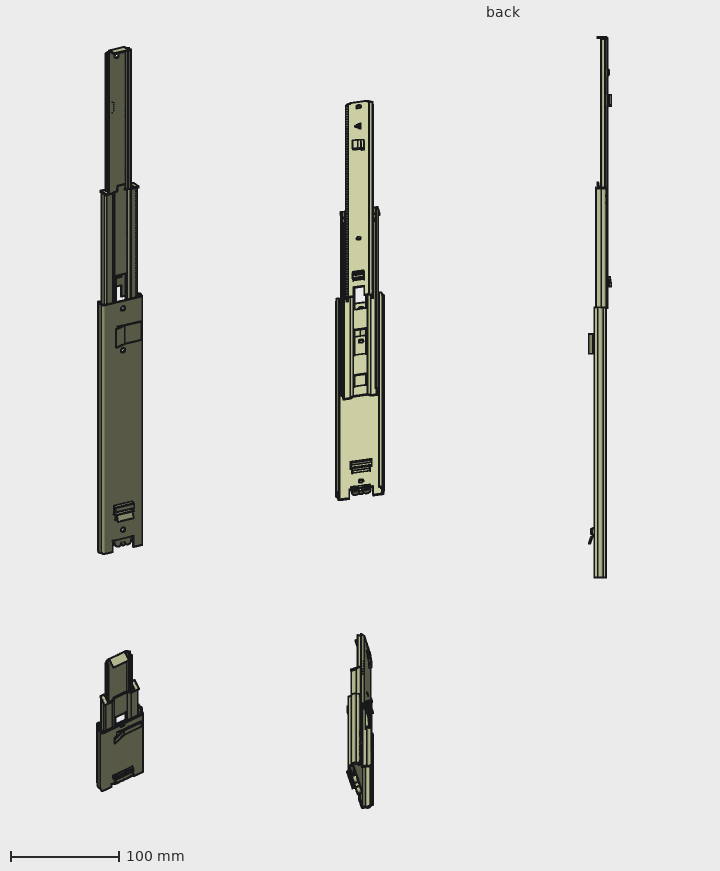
import cadquery as cq
import math


OUTER_LENGTH = 250.0
OUTER_BACK = 5.5
OUTER_LIP = -5.75
OUTER_SHEET = 1.5
OUTER_GAP = 18.75
OUTER_FLANGE = 21.5
OUTER_HALF_WIDTH = 22.75
OUTER_ROUND = 1.25
OUTER_RACE = (-3.0, 2.0)
OUTER_HOLES = (20.0, 200.5, 242.5)
NOTCH_HALF_WIDTH = 11.25
NOTCH_TOP = 11.25
BRACKET_OPENING_HALF_WIDTH = 6.0

MIDDLE_BOTTOM = 127.5
MIDDLE_TOP = 359.5
MIDDLE_BACK = 3.75
MIDDLE_LIP = -5.75
MIDDLE_SHEET = 1.25
MIDDLE_FLANGE = 16.5
MIDDLE_HALF_WIDTH = 17.75
MIDDLE_RACE_END = -1.0
MIDDLE_WEB_FRONT = 0.5
MIDDLE_RAISED = 6.75
MIDDLE_RAMP_END = 9.75
WINDOW_HALF_WIDTH = 5.25
MIDDLE_WINDOWS = ((139.5, 154.5), (180.0, 213.0), (239.0, 275.0))

INNER_BOTTOM = 249.0
INNER_TOP = 498.0
INNER_FRONT = -7.0
INNER_BACK = -0.75
INNER_SHEET = 1.25
INNER_FLAT = 9.75
INNER_HALF_WIDTH = 12.75
INNER_SLOPE_DEPTH = 2.0
INNER_RACE = (-4.25, -1.25)
INNER_RACE_DEPTH = 1.0
TOP_Z = 500.0
TOP_TAB_HALF_WIDTH = 8.0
TOP_TAB_END = 2.5

INNER_HOLE = 492.5
INNER_COUNTERSINK = 322.5
END_NOTCH_TOP = 260.5

HOLE_RADIUS = 2.25
CUT_REACH = 40.0

HOOK_TIP = -10.5
HOOK_BACK = -8.5
HOOK_LEG = 2.5
HOOK_HALF_WIDTH = 5.25
HOOK_STEPS = (2.5, 5.5)
HOOK_STEP_HEIGHT = 0.5
HOOK_CHAMFER = 1.25
UPPER_HOOK = (436.0, 446.5)
LOWER_HOOK = (269.0, 278.0)

REAR = 10.5
BRACKET = (207.0, 225.5)
BRACKET_SHEET = 1.25


def box(x, y, z):
    """A block given by its (low, high) range along each axis."""
    size = [high - low for low, high in (x, y, z)]
    return cq.Workplane().box(*size, centered=False).translate((x[0], y[0], z[0]))


def both_sides(half):
    """Completes a solid that is symmetric about Y = 0 from its +Y half."""
    return half.union(half.mirror("XZ")).clean()


def hole(radius, y, z):
    """A round cutter along X through the whole depth of the slide."""
    return cq.Workplane("YZ").center(y, z).circle(radius).extrude(CUT_REACH, both=True)


def mid(span):
    return sum(span) / 2


def outer_rail():
    race_start, race_end = OUTER_RACE
    race_mid = mid(OUTER_RACE)
    web_front = OUTER_BACK - OUTER_SHEET
    wall = OUTER_FLANGE - OUTER_SHEET
    inner_race = OUTER_HALF_WIDTH - OUTER_SHEET
    lip_outer = OUTER_FLANGE - OUTER_ROUND
    round_mid = OUTER_ROUND * (1 - math.sqrt(0.5))
    half = (
        cq.Workplane("XY")
        .moveTo(web_front, 0)
        .lineTo(OUTER_BACK, 0)
        .lineTo(OUTER_BACK, lip_outer)
        .threePointArc(
            (OUTER_BACK - round_mid, OUTER_FLANGE - round_mid),
            (OUTER_BACK - OUTER_ROUND, OUTER_FLANGE),
        )
        .lineTo(race_end, OUTER_FLANGE)
        .threePointArc((race_mid, OUTER_HALF_WIDTH), (race_start, OUTER_FLANGE))
        .lineTo(OUTER_LIP + OUTER_ROUND, OUTER_FLANGE)
        .threePointArc(
            (OUTER_LIP + round_mid, OUTER_FLANGE - round_mid),
            (OUTER_LIP, lip_outer),
        )
        .lineTo(OUTER_LIP, OUTER_GAP)
        .lineTo(OUTER_LIP + OUTER_SHEET, OUTER_GAP)
        .lineTo(OUTER_LIP + OUTER_SHEET, wall)
        .lineTo(race_start, wall)
        .threePointArc((race_mid, inner_race), (race_end, wall))
        .lineTo(web_front, wall)
        .close()
        .extrude(OUTER_LENGTH)
    )
    rail = both_sides(half)
    notch = (-NOTCH_HALF_WIDTH, NOTCH_HALF_WIDTH)
    rail = rail.cut(box((0, REAR), notch, (0, NOTCH_TOP)))
    opening = (-BRACKET_OPENING_HALF_WIDTH, BRACKET_OPENING_HALF_WIDTH)
    rail = rail.cut(box((0, REAR), opening, BRACKET))
    for z in OUTER_HOLES:
        rail = rail.cut(hole(HOLE_RADIUS, 0, z))
    return add_spring_hook(rail)


def add_spring_hook(rail):
    """A tongue lanced out of the web: it steps back, pinches in, then flares out to its tip."""
    top = 46.5
    shoulder = 45.0
    seat = 40.5
    pinch = 39.0
    waist = 37.5
    tip = 31.5
    half_width = 10.0
    tip_half_width = 8.5
    web_front = OUTER_BACK - OUTER_SHEET
    step_back = 7.0
    upper_width = (-half_width, half_width)
    tip_width = (-tip_half_width, tip_half_width)
    rail = rail.cut(box((0, REAR), upper_width, (waist, top)))
    rail = rail.cut(box((0, REAR), tip_width, (tip, waist)))
    upper_front = [
        (web_front, top),
        (step_back, shoulder),
        (step_back, seat),
        (web_front, pinch),
        (step_back, waist),
    ]
    lower_front = [(step_back, waist), (REAR - OUTER_SHEET, tip)]
    rail = rail.union(bent_strip(upper_front, half_width))
    return rail.union(bent_strip(lower_front, tip_half_width))


def bent_strip(front, half_width):
    """A strip across Y with its front face along XZ points and its back OUTER_SHEET behind."""
    back = [(x + OUTER_SHEET, z) for x, z in reversed(front)]
    return cq.Workplane("XZ").polyline(front + back).close().extrude(half_width, both=True)


def middle_rail():
    race_mid = mid((MIDDLE_LIP, MIDDLE_RACE_END))
    floor = MIDDLE_BACK - MIDDLE_SHEET
    wall = MIDDLE_FLANGE - MIDDLE_SHEET
    web_back = MIDDLE_WEB_FRONT + MIDDLE_SHEET
    half = (
        cq.Workplane("XY", origin=(0, 0, MIDDLE_BOTTOM))
        .moveTo(MIDDLE_WEB_FRONT, 0)
        .lineTo(web_back, 0)
        .lineTo(web_back, MIDDLE_RAISED)
        .lineTo(MIDDLE_BACK, MIDDLE_RAMP_END)
        .lineTo(MIDDLE_BACK, MIDDLE_FLANGE)
        .lineTo(MIDDLE_RACE_END, MIDDLE_FLANGE)
        .threePointArc((race_mid, MIDDLE_HALF_WIDTH), (MIDDLE_LIP, MIDDLE_FLANGE))
        .lineTo(MIDDLE_LIP, wall)
        .threePointArc((race_mid, MIDDLE_HALF_WIDTH - MIDDLE_SHEET), (MIDDLE_RACE_END, wall))
        .lineTo(floor, wall)
        .lineTo(floor, MIDDLE_RAMP_END)
        .lineTo(MIDDLE_WEB_FRONT, MIDDLE_RAISED)
        .close()
        .extrude(MIDDLE_TOP - MIDDLE_BOTTOM)
    )
    rail = both_sides(half)
    window = (-WINDOW_HALF_WIDTH, WINDOW_HALF_WIDTH)
    for span in MIDDLE_WINDOWS:
        rail = rail.cut(box((0, MIDDLE_BACK), window, span))
    return rail.union(stop_tongue())


def stop_tongue():
    """A tongue at the middle rail's upper end, leaning toward +X."""
    tip_z = 365.5
    lean = 1.0
    half_width = 4.0
    web_back = MIDDLE_WEB_FRONT + MIDDLE_SHEET
    return (
        cq.Workplane("XZ")
        .polyline([
            (MIDDLE_WEB_FRONT, MIDDLE_TOP),
            (MIDDLE_WEB_FRONT + lean, tip_z),
            (web_back + lean, tip_z),
            (web_back, MIDDLE_TOP),
        ])
        .close()
        .extrude(half_width, both=True)
    )


def inner_rail():
    race_start, race_end = INNER_RACE
    race_mid = mid(INNER_RACE)
    race_bottom = INNER_HALF_WIDTH - INNER_RACE_DEPTH
    slope_end = INNER_FRONT + INNER_SLOPE_DEPTH
    web_back = INNER_FRONT + INNER_SHEET
    wall = INNER_HALF_WIDTH - INNER_SHEET
    half = (
        cq.Workplane("XY", origin=(0, 0, INNER_BOTTOM))
        .moveTo(web_back, 0)
        .lineTo(INNER_FRONT, 0)
        .lineTo(INNER_FRONT, INNER_FLAT)
        .lineTo(slope_end, INNER_HALF_WIDTH)
        .lineTo(race_start, INNER_HALF_WIDTH)
        .threePointArc((race_mid, race_bottom), (race_end, INNER_HALF_WIDTH))
        .lineTo(INNER_BACK, INNER_HALF_WIDTH)
        .lineTo(INNER_BACK, wall)
        .threePointArc((race_mid, race_bottom - INNER_SHEET), (slope_end + INNER_SHEET / 2, wall))
        .lineTo(web_back, INNER_FLAT)
        .close()
        .extrude(INNER_TOP - INNER_BOTTOM)
    )
    rail = both_sides(half)
    rail = rail.union(top_tab()).union(upper_hook()).union(arrow_bump())
    rail = rail.cut(hole(HOLE_RADIUS, 0, INNER_HOLE))
    rail = rail.cut(countersunk_hole(INNER_COUNTERSINK))
    window = (-WINDOW_HALF_WIDTH, WINDOW_HALF_WIDTH)
    for span in (LOWER_HOOK, (INNER_BOTTOM, END_NOTCH_TOP)):
        rail = rail.cut(box((INNER_FRONT, INNER_BACK), window, span))
    return rail.union(lower_hook())


def top_tab():
    """The web's upper end, bent over toward +X through a quarter turn."""
    radius = TOP_Z - INNER_TOP
    inside = radius - INNER_SHEET
    centre = INNER_FRONT + radius
    diagonal = math.sqrt(0.5)
    return (
        cq.Workplane("XZ")
        .moveTo(INNER_FRONT, INNER_TOP)
        .threePointArc((centre - radius * diagonal, INNER_TOP + radius * diagonal), (centre, TOP_Z))
        .lineTo(TOP_TAB_END, TOP_Z)
        .lineTo(TOP_TAB_END, TOP_Z - INNER_SHEET)
        .lineTo(centre, TOP_Z - INNER_SHEET)
        .threePointArc(
            (centre - inside * diagonal, INNER_TOP + inside * diagonal),
            (centre - inside, INNER_TOP),
        )
        .close()
        .extrude(TOP_TAB_HALF_WIDTH, both=True)
    )


def hook_profile(length):
    """Outline of a hook as (x, distance from its root): a leg and a plate with two steps."""
    first_step, second_step = HOOK_STEPS
    middle_x = HOOK_TIP + HOOK_STEP_HEIGHT
    root_x = middle_x + HOOK_STEP_HEIGHT
    anchor = INNER_FRONT + INNER_SHEET
    return [
        (anchor, 0),
        (root_x, 0),
        (root_x, first_step),
        (middle_x, first_step),
        (middle_x, second_step),
        (HOOK_TIP, second_step),
        (HOOK_TIP, length),
        (HOOK_BACK, length),
        (HOOK_BACK, HOOK_LEG),
        (anchor, HOOK_LEG),
    ]


def upper_hook():
    """A hook standing on its -Y edge, with its free end toward +Y and one corner cut off."""
    bottom, top = UPPER_HOOK
    points = [(x, root - HOOK_HALF_WIDTH) for x, root in hook_profile(2 * HOOK_HALF_WIDTH)]
    hook = cq.Workplane("XY", origin=(0, 0, bottom)).polyline(points).close().extrude(top - bottom)
    corner = (
        cq.Workplane("YZ", origin=(HOOK_TIP, HOOK_HALF_WIDTH, bottom))
        .polyline([(0, 0), (-HOOK_CHAMFER, 0), (0, HOOK_CHAMFER)])
        .close()
        .extrude(INNER_FRONT - HOOK_TIP)
    )
    return hook.cut(corner)


def lower_hook():
    """A hook hanging from its top edge, with its free end at the bottom."""
    bottom, top = LOWER_HOOK
    points = [(x, top - root) for x, root in hook_profile(top - bottom)]
    return cq.Workplane("XZ").polyline(points).close().extrude(HOOK_HALF_WIDTH, both=True)


def arrow_bump():
    """A small raised triangle on the inner web, pointing to +Y."""
    height = 1.5
    slope_angle = 30
    tip = (3.75, 467.5)
    base_y = -2.0
    base_bottom = 463.5
    base_top = 470.5
    return (
        cq.Workplane("YZ", origin=(INNER_FRONT, 0, 0))
        .polyline([tip, (base_y, base_top), (base_y, base_bottom)])
        .close()
        .extrude(-height, taper=slope_angle)
    )


def countersunk_hole(z):
    """A conical cutter, wide at the front of the inner web and narrow at its back."""
    wide = 2.0
    narrow = 0.75
    return (
        cq.Workplane("YZ", origin=(INNER_FRONT, 0, z))
        .circle(wide)
        .workplane(offset=INNER_SHEET)
        .circle(narrow)
        .loft()
    )


def ball_cage(side):
    """The end of a ball strip beside the inner rail; side is +1 or -1 along Y."""
    bottom = 346.5
    cap_top = 361.0
    inner_face = 13.5
    outer_face = MIDDLE_FLANGE - MIDDLE_SHEET
    strip_back = -2.0
    ball_z = 353.0
    ball_radius = 0.5
    strip = box((MIDDLE_LIP, strip_back), (inner_face, outer_face), (bottom, cap_top))
    cap = box((MIDDLE_LIP, MIDDLE_BACK), (inner_face, MIDDLE_HALF_WIDTH), (MIDDLE_TOP, cap_top))
    cage = strip.union(cap).cut(hole(ball_radius, mid((inner_face, outer_face)), ball_z))
    return cage if side > 0 else cage.mirror("XZ")


def end_bumper():
    """Two ring-marked round pads and a small middle one on a bar, hung in the outer rail's notch."""
    bar_front = 1.5
    pad_front = 1.0
    bar_half_width = 9.0
    bar_bottom = 7.5
    pad_bottom = 4.0
    pad_spacing = 5.25
    pad_radius = 3.5
    middle_radius = 2.0
    recess_radius = 1.75
    recess_depth = 1.0
    bar = ((bar_front, OUTER_BACK), (-bar_half_width, bar_half_width), (bar_bottom, NOTCH_TOP))
    bumper = box(*bar)
    for y, radius in ((-pad_spacing, pad_radius), (0, middle_radius), (pad_spacing, pad_radius)):
        pad = cq.Workplane("YZ", origin=(pad_front, y, pad_bottom + radius)).circle(radius)
        bumper = bumper.union(pad.extrude(OUTER_BACK - pad_front))
    for y in (-pad_spacing, pad_spacing):
        recess = cq.Workplane("YZ", origin=(pad_front, y, pad_bottom + pad_radius))
        bumper = bumper.cut(recess.circle(recess_radius).extrude(recess_depth))
    return bumper


def rear_bracket():
    """A plate on the back of the outer web whose -Y part slopes away from it."""
    plate_end = 19.0
    bend = 1.0
    free_end = -10.5
    plate_back = OUTER_BACK + BRACKET_SHEET
    return (
        cq.Workplane("XY", origin=(0, 0, BRACKET[0]))
        .polyline([
            (OUTER_BACK, plate_end),
            (OUTER_BACK, bend),
            (REAR - BRACKET_SHEET, free_end),
            (REAR, free_end),
            (plate_back, bend),
            (plate_back, plate_end),
        ])
        .close()
        .extrude(BRACKET[1] - BRACKET[0])
    )


outer = outer_rail()
middle = middle_rail()
inner = inner_rail()
bumper = end_bumper()
bracket = rear_bracket()
cages = [ball_cage(side) for side in (1, -1)]

result = cq.Compound.makeCompound([
    outer.val(),
    middle.val(),
    inner.val(),
    bumper.val(),
    bracket.val(),
    *[cage.val() for cage in cages],
])